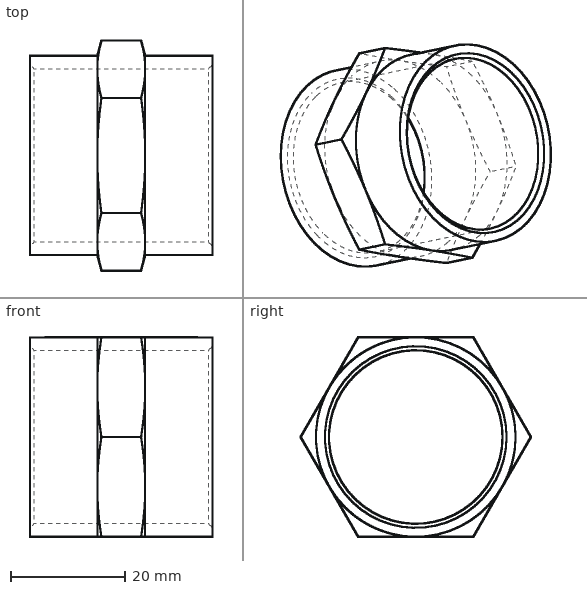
import cadquery as cq
import math

corner_width = 40.4
length = 32.0
hex_length = 8.4
bore_diameter = 30.4
mouth_diameter = 31.85
hex_chamfer_angle = 15.0
bore_chamfer_angle = 45.0

corner_radius = corner_width / 2
sleeve_radius = corner_radius * math.cos(math.radians(30))
bore_radius = bore_diameter / 2
mouth_radius = mouth_diameter / 2
hex_chamfer_length = (corner_radius - sleeve_radius) * math.tan(math.radians(hex_chamfer_angle))
mouth_depth = (mouth_radius - bore_radius) / math.tan(math.radians(bore_chamfer_angle))


def revolve_about_x(profile):
    """Revolve a closed (x, radius) profile about the X axis."""
    return cq.Workplane("XY").polyline(profile).close().revolve(360, (0, 0, 0), (1, 0, 0))


def make_hexagon():
    """Central hexagon with corners on Y and conically chamfered ends."""
    prism = cq.Workplane("YZ").polygon(6, corner_width).extrude(hex_length / 2, both=True)
    end = hex_length / 2
    shoulder = end - hex_chamfer_length
    envelope = revolve_about_x([
        (-end, 0),
        (-end, sleeve_radius),
        (-shoulder, corner_radius),
        (shoulder, corner_radius),
        (end, sleeve_radius),
        (end, 0),
    ])
    return prism.intersect(envelope)


def make_bore():
    """Through bore with a conical chamfer at each mouth."""
    end = length / 2
    chamfer_start = end - mouth_depth
    return revolve_about_x([
        (-end, 0),
        (-end, mouth_radius),
        (-chamfer_start, bore_radius),
        (chamfer_start, bore_radius),
        (end, mouth_radius),
        (end, 0),
    ])


sleeve = cq.Workplane("YZ").circle(sleeve_radius).extrude(length / 2, both=True)
result = sleeve.union(make_hexagon()).cut(make_bore())